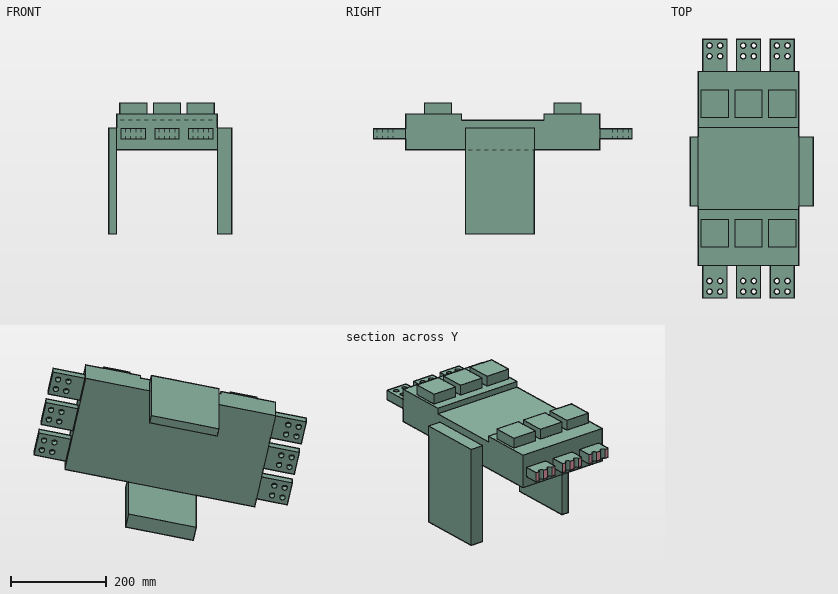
import cadquery as cq

body_width = 210.0
body_length = 405.0
body_height = 75.0
recess_length = 171.0
recess_depth = 13.0

pole_pitch = 70.0
pole_xs = [-pole_pitch, 0, pole_pitch]
end_signs = [-1, 1]

pad_size = 57.0
pad_height = 22.5
pad_center_y = 135.0

overall_length = 540.0
terminal_width = 51.0
terminal_thickness = 21.5
terminal_bottom = 22.5
terminal_reach = (overall_length - body_length) / 2

hole_diameter = 11.0
hole_pitch = 22.0
hole_end_margin = 13.5

overall_height = 274.0
plate_length = 144.0
plate_center_y = -6.0
plate_top = 46.0
plate_bottom = body_height + pad_height - overall_height
left_plate_thickness = 17.0
right_plate_thickness = 30.0


def block(size_x, size_y, size_z, center_x, center_y, bottom_z):
    """Box centred in X and Y that stands on the level bottom_z."""
    box = cq.Workplane("XY").box(size_x, size_y, size_z, centered=(True, True, False))
    return box.translate((center_x, center_y, bottom_z))


def make_body():
    """Block with a shallow recess across the middle of its top."""
    body = block(body_width, body_length, body_height, 0, 0, 0)
    recess = block(body_width, recess_length, recess_depth, 0, 0, body_height - recess_depth)
    return body.cut(recess)


def make_pad(x, end):
    return block(pad_size, pad_size, pad_height, x, end * pad_center_y, body_height)


def make_terminal(x, end):
    """Terminal starting on the body end face, drilled near its free end."""
    center_y = end * (body_length + terminal_reach) / 2
    bar = block(terminal_width, terminal_reach, terminal_thickness, x, center_y, terminal_bottom)
    holes_y = end * (overall_length / 2 - hole_end_margin - hole_pitch / 2)
    holes = (
        cq.Workplane("XY", origin=(x, holes_y, terminal_bottom))
        .rarray(hole_pitch, hole_pitch, 2, 2)
        .circle(hole_diameter / 2)
        .extrude(terminal_thickness)
    )
    return bar.cut(holes)


def make_side_plate(side, thickness):
    center_x = side * (body_width + thickness) / 2
    height = plate_top - plate_bottom
    return block(thickness, plate_length, height, center_x, plate_center_y, plate_bottom)


result = make_body()
for end in end_signs:
    for x in pole_xs:
        result = result.union(make_pad(x, end))
        result = result.union(make_terminal(x, end))
result = result.union(make_side_plate(-1, left_plate_thickness))
result = result.union(make_side_plate(1, right_plate_thickness))